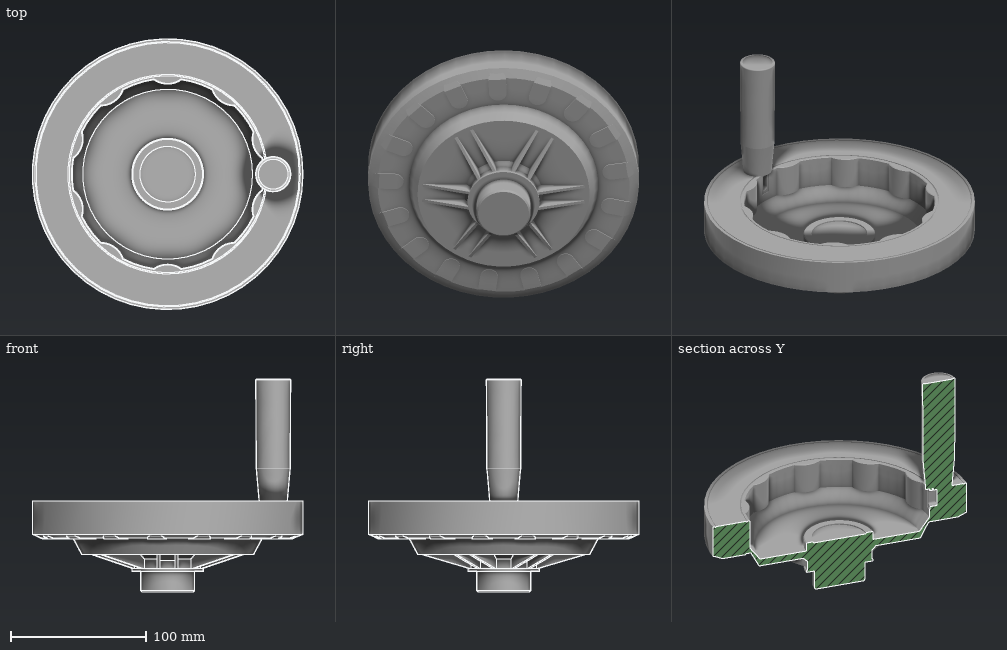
import cadquery as cq
TOTAL_HEIGHT = 157.4
RIM_TOP = 67.5
RIM_SIDE_BOTTOM = 42.8
RIM_BOTTOM = 39.9
PAD_BOTTOM = 39.2
DISH_BOTTOM = 27.7
DISH_FLOOR = 33.8
WALL_BOTTOM = 44.3
BOSS_TOP = 40.5
FLANGE_BOTTOM = 15.4
FLANGE_TOP = 17.5

RIM_RADIUS = 100.0
RIM_BOTTOM_RADIUS = 93.0
GROOVE_DEPTH = 0.5
OUTER_GROOVE = (97.2, 98.0)
INNER_GROOVE = (72.7, 73.7)

DISH_TOP_RADIUS = 70.0
DISH_BOTTOM_RADIUS = 63.5
FLOOR_RADIUS = 62.7

WALL_RADIUS = 70.5
LOBE_COUNT = 10
LOBE_TIP_RADIUS = 66.5
LOBE_ROUND_RADIUS = 17.5
LOBE_START_ANGLE = 18.0
LOBE_EDGE_BEVEL = 0.5

HUB_RADIUS = 20.0
HUB_CHAMFER = 1.2
FLANGE_RADIUS = 26.5
HUB_NECK_RADIUS = 25.5
NECK_CONE_HEIGHT = 3.1
BOSS_RADIUS = 26.5
BOSS_EDGE_CHAMFER = 0.7
BOSS_RECESS_RADIUS = 20.5
BOSS_RECESS_DEPTH = 1.0

RIB_PAIR_COUNT = 6
RIB_PAIR_START_ANGLE = 30.0
RIB_OFFSET = 6.6
RIB_THICKNESS = 2.2
RIB_REACH = 60.0
RIB_SETBACK = 1.0
WEB_EXTRA_HEIGHT = 1.2

PAD_COUNT = 17
PAD_START_ANGLE = 180.0
PAD_WIDTH = 13.0
PAD_INNER_RADIUS = 74.0
PAD_EDGE_RADIUS = 92.0
PAD_OUTER_RADIUS = 98.6
PAD_OUTER_Z = 42.4

HANDLE_X = 78.0
HANDLE_BASE_RADIUS = 10.5
HANDLE_TAPER_TOP = 91.5
HANDLE_TAPER_RADIUS = 12.6
HANDLE_TOP_RADIUS = 13.0
HANDLE_TOP_ROUND = 1.0
HANDLE_CAP_RADIUS = 11.0
HANDLE_CAP_DEPTH = 0.5

SLOT_WIDTH = 4.92
SLOT_BOTTOM = 53.0
SLOT_TOP = 66.0
SLOT_DEPTH = 6.0
SLOT_RECESS_WIDTH = 8.0
SLOT_RECESS_MARGIN = 2.5
SLOT_RECESS_DEPTH = 0.4


def disc(radius, bottom, top):
    return cq.Workplane("XY").workplane(offset=bottom).circle(radius).extrude(top - bottom)


def ring(inner, outer, bottom, top):
    return disc(outer, bottom, top).cut(disc(inner, bottom, top))


def around_axis(shape, count, start):
    """Copies of a shape on +X, turned to equal steps around Z."""
    step = 360 / count
    return [shape.rotate(cq.Vector(0, 0, 0), cq.Vector(0, 0, 1), start + i * step) for i in range(count)]


def wheel_body():
    """Rim, dish, neck, flange and hub as one solid of revolution."""
    outline = (
        cq.Workplane("XZ")
        .moveTo(0, 0)
        .lineTo(HUB_RADIUS - HUB_CHAMFER, 0)
        .lineTo(HUB_RADIUS, HUB_CHAMFER)
        .lineTo(HUB_RADIUS, FLANGE_BOTTOM)
        .lineTo(FLANGE_RADIUS, FLANGE_BOTTOM)
        .lineTo(FLANGE_RADIUS, FLANGE_TOP)
        .lineTo(HUB_NECK_RADIUS, FLANGE_TOP)
        .lineTo(HUB_NECK_RADIUS, DISH_BOTTOM - NECK_CONE_HEIGHT)
        .lineTo(HUB_NECK_RADIUS + NECK_CONE_HEIGHT, DISH_BOTTOM)
        .lineTo(DISH_BOTTOM_RADIUS, DISH_BOTTOM)
        .lineTo(DISH_TOP_RADIUS, RIM_BOTTOM)
        .lineTo(RIM_BOTTOM_RADIUS, RIM_BOTTOM)
        .lineTo(RIM_RADIUS, RIM_SIDE_BOTTOM)
        .lineTo(RIM_RADIUS, RIM_TOP)
        .lineTo(0, RIM_TOP)
        .close()
    )
    return outline.revolve(360, (0, 0, 0), (0, 1, 0))


def lobed_cavity():
    """The hollow of the wheel: a conical bottom below a wall with rounded lobes."""
    cone = (
        cq.Workplane("XZ")
        .moveTo(0, DISH_FLOOR)
        .lineTo(FLOOR_RADIUS, DISH_FLOOR)
        .lineTo(WALL_RADIUS, WALL_BOTTOM)
        .lineTo(0, WALL_BOTTOM)
        .close()
        .revolve(360, (0, 0, 0), (0, 1, 0))
    )
    lobes = (
        cq.Workplane("XY")
        .workplane(offset=WALL_BOTTOM)
        .polarArray(LOBE_TIP_RADIUS + LOBE_ROUND_RADIUS, LOBE_START_ANGLE, 360, LOBE_COUNT)
        .circle(LOBE_ROUND_RADIUS)
        .extrude(RIM_TOP - WALL_BOTTOM)
    )
    return disc(WALL_RADIUS, WALL_BOTTOM, RIM_TOP).cut(lobes).union(cone)


def lobe_edge_bevel():
    """Cutter that bevels the top edge of the wall: a flaring cone less shrinking lobe cones."""
    bottom = cq.Vector(0, 0, RIM_TOP - LOBE_EDGE_BEVEL)
    up = cq.Vector(0, 0, 1)
    flare = cq.Solid.makeCone(WALL_RADIUS, WALL_RADIUS + LOBE_EDGE_BEVEL, LOBE_EDGE_BEVEL, bottom, up)
    lobe_bottom = bottom + cq.Vector(LOBE_TIP_RADIUS + LOBE_ROUND_RADIUS, 0, 0)
    lobe = cq.Solid.makeCone(
        LOBE_ROUND_RADIUS, LOBE_ROUND_RADIUS - LOBE_EDGE_BEVEL, LOBE_EDGE_BEVEL, lobe_bottom, up
    )
    cutter = cq.Workplane(flare)
    for lobe_copy in around_axis(lobe, LOBE_COUNT, LOBE_START_ANGLE):
        cutter = cutter.cut(cq.Workplane(lobe_copy))
    return cutter


def boss():
    body = disc(BOSS_RADIUS, DISH_FLOOR, BOSS_TOP).faces(">Z").edges().chamfer(BOSS_EDGE_CHAMFER)
    return body.cut(disc(BOSS_RECESS_RADIUS, BOSS_TOP - BOSS_RECESS_DEPTH, BOSS_TOP))


def rib_pair():
    """Two parallel ribs along +X from the flange up to the dish, with a low web between them."""
    rib = (
        cq.Workplane("XZ")
        .moveTo(HUB_RADIUS, FLANGE_TOP)
        .lineTo(FLANGE_RADIUS - RIB_SETBACK, FLANGE_TOP)
        .lineTo(RIB_REACH, DISH_BOTTOM)
        .lineTo(HUB_RADIUS, DISH_BOTTOM)
        .close()
        .extrude(RIB_THICKNESS / 2, both=True)
    )
    web_bottom = DISH_BOTTOM - NECK_CONE_HEIGHT - WEB_EXTRA_HEIGHT
    web = (
        cq.Workplane("XZ")
        .moveTo(HUB_RADIUS, web_bottom)
        .lineTo(HUB_NECK_RADIUS, web_bottom)
        .lineTo(HUB_NECK_RADIUS + NECK_CONE_HEIGHT, DISH_BOTTOM)
        .lineTo(HUB_RADIUS, DISH_BOTTOM)
        .close()
        .extrude(RIB_OFFSET, both=True)
    )
    left_rib = rib.translate((0, RIB_OFFSET, 0))
    right_rib = rib.translate((0, -RIB_OFFSET, 0))
    return web.union(left_rib).union(right_rib).val()


def finger_pad():
    """Low pad under the rim along +X, with a rounded outer end and a bevel."""
    section = (
        cq.Workplane("XZ")
        .moveTo(PAD_INNER_RADIUS, PAD_BOTTOM)
        .lineTo(PAD_EDGE_RADIUS, PAD_BOTTOM)
        .lineTo(PAD_OUTER_RADIUS, PAD_OUTER_Z)
        .lineTo(PAD_INNER_RADIUS, PAD_OUTER_Z)
        .close()
        .extrude(PAD_WIDTH / 2, both=True)
    )
    plan = (
        cq.Workplane("XY")
        .workplane(offset=PAD_BOTTOM)
        .center((PAD_INNER_RADIUS + PAD_OUTER_RADIUS) / 2, 0)
        .slot2D(PAD_OUTER_RADIUS - PAD_INNER_RADIUS, PAD_WIDTH)
        .extrude(PAD_OUTER_Z - PAD_BOTTOM)
    )
    return section.intersect(plan).val()


def handle():
    """Tapered grip with a rounded top edge and a shallow recess in its end."""
    body = (
        cq.Workplane("XZ")
        .moveTo(0, RIM_TOP)
        .lineTo(HANDLE_BASE_RADIUS, RIM_TOP)
        .lineTo(HANDLE_TAPER_RADIUS, HANDLE_TAPER_TOP)
        .lineTo(HANDLE_TOP_RADIUS, TOTAL_HEIGHT)
        .lineTo(0, TOTAL_HEIGHT)
        .close()
        .revolve(360, (0, 0, 0), (0, 1, 0))
        .faces(">Z")
        .edges()
        .fillet(HANDLE_TOP_ROUND)
    )
    body = body.cut(disc(HANDLE_CAP_RADIUS, TOTAL_HEIGHT - HANDLE_CAP_DEPTH, TOTAL_HEIGHT))
    return body.translate((HANDLE_X, 0, 0))


def wall_slot():
    """Upright slot through the wall on +X, set in a shallow rectangular recess."""
    slot = (
        cq.Workplane("YZ")
        .workplane(offset=LOBE_TIP_RADIUS)
        .center(0, (SLOT_TOP + SLOT_BOTTOM) / 2)
        .slot2D(SLOT_TOP - SLOT_BOTTOM, SLOT_WIDTH, 90)
        .extrude(WALL_RADIUS + SLOT_DEPTH - LOBE_TIP_RADIUS)
    )
    recess_bottom = SLOT_BOTTOM - SLOT_RECESS_MARGIN
    recess = (
        cq.Workplane("YZ")
        .workplane(offset=LOBE_TIP_RADIUS)
        .center(0, (recess_bottom + SLOT_TOP) / 2)
        .rect(SLOT_RECESS_WIDTH, SLOT_TOP - recess_bottom)
        .extrude(WALL_RADIUS + SLOT_RECESS_DEPTH - LOBE_TIP_RADIUS)
    )
    return slot.union(recess)


wheel = wheel_body()
for pad in around_axis(finger_pad(), PAD_COUNT, PAD_START_ANGLE):
    wheel = wheel.union(cq.Workplane(pad))
for pair in around_axis(rib_pair(), RIB_PAIR_COUNT, RIB_PAIR_START_ANGLE):
    wheel = wheel.union(cq.Workplane(pair))
wheel = wheel.cut(lobed_cavity()).cut(lobe_edge_bevel())
for inner, outer in (OUTER_GROOVE, INNER_GROOVE):
    wheel = wheel.cut(ring(inner, outer, RIM_TOP - GROOVE_DEPTH, RIM_TOP))
result = wheel.union(boss()).cut(wall_slot()).union(handle())